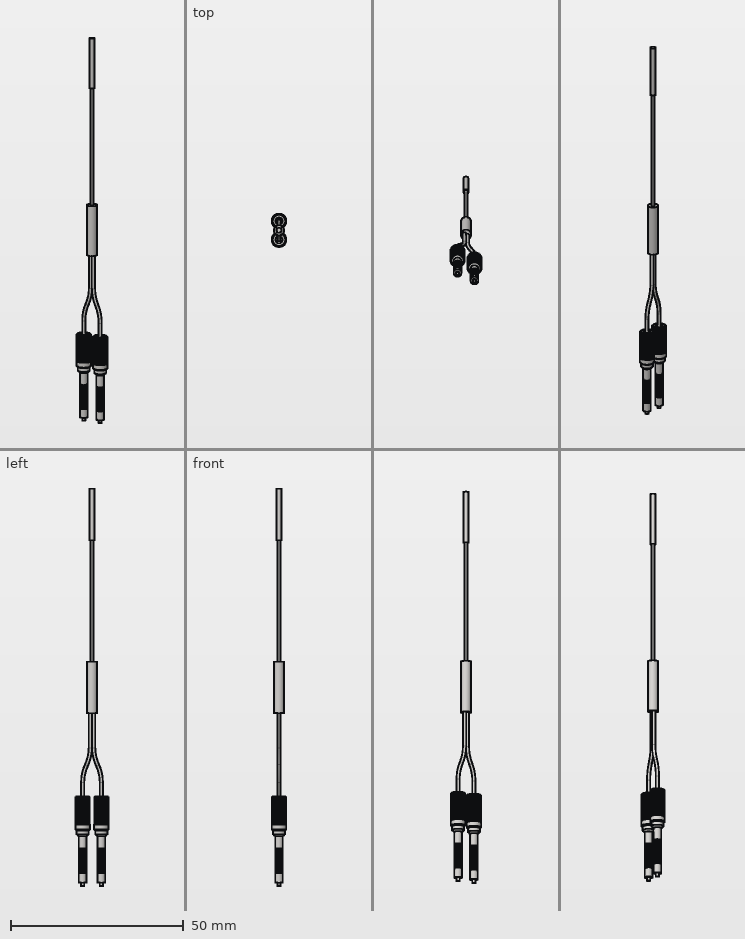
import cadquery as cq


FIBRE_DIAMETER = 1.0
FIBRE_RADIUS = FIBRE_DIAMETER / 2

TOTAL_LENGTH = 115.0
HEAD_DIAMETER = 1.5
HEAD_LENGTH = 15.0
HEAD_BOTTOM = TOTAL_LENGTH - HEAD_LENGTH

SLEEVE_DIAMETER = 3.0
SLEEVE_LENGTH = 15.0
SLEEVE_TOP = 65.0
SLEEVE_BOTTOM = SLEEVE_TOP - SLEEVE_LENGTH

CONNECTOR_SPACING = 5.4
CONNECTOR_OFFSET = CONNECTOR_SPACING / 2
SPREAD_TOP = 40.0
SPREAD_BOTTOM = 30.0

GRIP_DIAMETER = 4.3
GRIP_RADIUS = GRIP_DIAMETER / 2
GRIP_TOP = 26.0
GRIP_CHAMFER = 0.3
KNURL_COUNT = 24
KNURL_GROOVE_DIAMETER = 0.28

FLANGE_TOP = 17.8
FLANGE_BOTTOM = 16.5
SHOULDER_DIAMETER = 3.6
SHOULDER_RADIUS = SHOULDER_DIAMETER / 2
SHOULDER_TOP = FLANGE_BOTTOM - (GRIP_RADIUS - SHOULDER_RADIUS)
SHOULDER_BOTTOM = 15.1
STEM_DIAMETER = 2.3
STEM_RADIUS = STEM_DIAMETER / 2
STEM_TOP = SHOULDER_BOTTOM - (SHOULDER_RADIUS - STEM_RADIUS)
STEM_BOTTOM = 1.0

THREAD_TOP = 10.9
THREAD_PITCH = 0.5
THREAD_COUNT = 16
THREAD_DEPTH = 0.2
THREAD_CREST = 0.1
THREAD_FLANK = (THREAD_PITCH - THREAD_CREST) / 2

ENTRY_DIAMETER = 2.1
ENTRY_RADIUS = ENTRY_DIAMETER / 2
ENTRY_DEPTH = ENTRY_RADIUS - FIBRE_RADIUS


def rod(diameter, bottom, top):
    """Cylinder on the Z axis between two heights."""
    return cq.Workplane("XY", origin=(0, 0, bottom)).circle(diameter / 2).extrude(top - bottom)


def turned(points):
    """Closed (radius, height) outline turned round the Z axis."""
    return cq.Workplane("XZ").polyline(points).close().revolve(360, (0, 0, 0), (0, 1, 0))


def make_head():
    """Head rod and its lead, which ends on the sleeve."""
    lead = rod(FIBRE_DIAMETER, SLEEVE_TOP, HEAD_BOTTOM)
    return lead.union(rod(HEAD_DIAMETER, HEAD_BOTTOM, TOTAL_LENGTH))


def make_sleeve():
    return rod(SLEEVE_DIAMETER, SLEEVE_BOTTOM, SLEEVE_TOP)


def make_branch(side):
    """Fibre from the sleeve through its connector; side is +1 or -1 along Y."""
    start_y = side * FIBRE_RADIUS
    end_y = side * CONNECTOR_OFFSET
    spread_middle = ((start_y + end_y) / 2, (SPREAD_TOP + SPREAD_BOTTOM) / 2)
    path = (
        cq.Workplane("YZ")
        .moveTo(start_y, SLEEVE_BOTTOM)
        .lineTo(start_y, SPREAD_TOP)
        .tangentArcPoint(spread_middle, relative=False)
        .tangentArcPoint((end_y, SPREAD_BOTTOM), relative=False)
        .lineTo(end_y, 0)
    )
    section = cq.Workplane("XY", origin=(0, start_y, SLEEVE_BOTTOM)).circle(FIBRE_RADIUS)
    return section.sweep(path)


def make_grip():
    """Chamfered cylinder with round knurl grooves along its length."""
    blank = rod(GRIP_DIAMETER, FLANGE_TOP, GRIP_TOP).faces(">Z").chamfer(GRIP_CHAMFER)
    grooves = (
        cq.Workplane("XY", origin=(0, 0, FLANGE_TOP))
        .polarArray(GRIP_RADIUS, 0, 360, KNURL_COUNT)
        .circle(KNURL_GROOVE_DIAMETER / 2)
        .extrude(GRIP_TOP - FLANGE_TOP)
    )
    return blank.cut(grooves)


def make_stem():
    """Flange, shoulder and stem, with the thread grooves in the outline of the stem."""
    points = [
        (0, FLANGE_TOP),
        (GRIP_RADIUS, FLANGE_TOP),
        (GRIP_RADIUS, FLANGE_BOTTOM),
        (SHOULDER_RADIUS, SHOULDER_TOP),
        (SHOULDER_RADIUS, SHOULDER_BOTTOM),
        (STEM_RADIUS, STEM_TOP),
    ]
    for turn in range(THREAD_COUNT):
        groove_top = THREAD_TOP - turn * THREAD_PITCH
        points.append((STEM_RADIUS, groove_top))
        points.append((STEM_RADIUS - THREAD_DEPTH, groove_top - THREAD_FLANK))
        points.append((STEM_RADIUS, groove_top - 2 * THREAD_FLANK))
    points.append((STEM_RADIUS, STEM_BOTTOM))
    points.append((0, STEM_BOTTOM))
    return turned(points)


def make_connector():
    """Grip and stem with the fibre bore and its countersunk entry, on the Z axis."""
    bore = rod(FIBRE_DIAMETER, STEM_BOTTOM, GRIP_TOP)
    entry = turned(
        [
            (0, GRIP_TOP),
            (ENTRY_RADIUS, GRIP_TOP),
            (FIBRE_RADIUS, GRIP_TOP - ENTRY_DEPTH),
            (0, GRIP_TOP - ENTRY_DEPTH),
        ]
    )
    return make_grip().union(make_stem()).cut(bore).cut(entry)


head = make_head()
sleeve = make_sleeve()
connector = make_connector()

branches = []
connectors = []
for side in (1, -1):
    branches.append(make_branch(side).val())
    connectors.append(connector.translate((0, side * CONNECTOR_OFFSET, 0)).val())

result = cq.Compound.makeCompound([head.val(), sleeve.val(), *branches, *connectors])